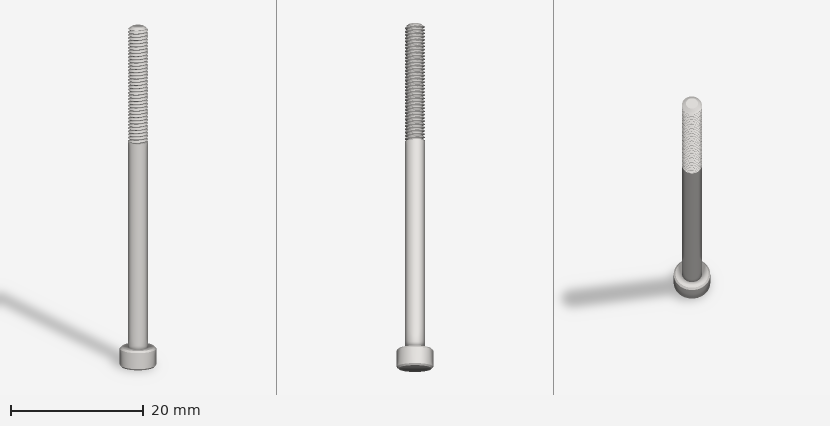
import cadquery as cq
import math

total_length = 53.0
head_diameter = 5.5
head_height = 3.0
head_chamfer = 0.25
shank_diameter = 3.0
thread_length = 18.0
thread_turns = 36
thread_depth = 0.3
thread_start_angle = 110.0
flank_half_angle = 30.0
tip_flat_diameter = 1.8
tip_chamfer_height = 0.4

spare_turns = 2
trim_clearance = 0.25

shank_radius = shank_diameter / 2
tip_flat_radius = tip_flat_diameter / 2
root_radius = shank_radius - thread_depth
thread_bottom = total_length - thread_length
thread_pitch = thread_length / thread_turns

crest_width = thread_pitch / 8
crest_half_width = crest_width / 2
crest_base_half_width = crest_half_width + thread_depth * math.tan(math.radians(flank_half_angle))
thread_profile = [
    (root_radius, -crest_base_half_width),
    (shank_radius, -crest_half_width),
    (shank_radius, crest_half_width),
    (root_radius, crest_base_half_width),
    (root_radius, thread_pitch - crest_base_half_width),
]


def make_head():
    """Cylindrical head, chamfered around both ends."""
    blank = cq.Workplane("XY").circle(head_diameter / 2).extrude(head_height)
    return blank.edges("%CIRCLE").chamfer(head_chamfer)


def make_plain_shank():
    """Smooth shank from the bottom of the head to the start of the thread."""
    return cq.Workplane("XY").circle(shank_radius).extrude(thread_bottom)


def helix_turn(radius, height):
    """One right-hand turn of a helix that starts at the given height."""
    return cq.Wire.makeHelix(thread_pitch, thread_pitch, radius, center=cq.Vector(0, 0, height)).Edges()[0]


def make_turn_faces(turn_height):
    """Skin of one full turn of thread, ruled between helices through the profile points."""
    helices = [helix_turn(radius, turn_height + height) for radius, height in thread_profile]
    return [cq.Face.makeRuledSurface(lower, upper) for lower, upper in zip(helices, helices[1:])]


def make_end_faces(turn_height):
    """Closure of one end of the rod: a helicoid from axis to root, and the flat step where its turn closes."""
    section = [cq.Vector(radius, 0, turn_height + height) for radius, height in thread_profile]
    axis_start = cq.Vector(0, 0, section[0].z)
    axis_end = cq.Vector(0, 0, section[-1].z)
    axis = cq.Edge.makeLine(axis_start, axis_end)
    helicoid = cq.Face.makeRuledSurface(axis, helix_turn(root_radius, section[0].z))
    step_outline = cq.Wire.makePolygon([axis_start, *section, axis_end], close=True)
    return [helicoid, cq.Face.makeFromWires(step_outline)]


def make_threaded_rod():
    """Solid rod of whole thread turns that overruns the thread at both ends."""
    first_turn = -spare_turns
    last_turn = thread_turns + spare_turns
    faces = make_end_faces(first_turn * thread_pitch) + make_end_faces(last_turn * thread_pitch)
    for turn in range(first_turn, last_turn):
        faces += make_turn_faces(turn * thread_pitch)
    return cq.Workplane(cq.Solid.makeSolid(cq.Shell.makeShell(faces)))


def make_trim_envelope():
    """Space the thread may fill: flat at the bottom, conical at the tip and clear of the crests."""
    envelope_radius = shank_radius + trim_clearance
    cone_inset = envelope_radius - tip_flat_radius
    cone_height = cone_inset * tip_chamfer_height / (shank_radius - tip_flat_radius)
    return (
        cq.Workplane("XY")
        .circle(envelope_radius)
        .extrude(thread_length)
        .faces(">Z")
        .chamfer(cone_height, cone_inset)
    )


def make_thread():
    """Threaded end of the screw, turned to its start angle and set on top of the plain shank."""
    trimmed_rod = make_threaded_rod().intersect(make_trim_envelope())
    return trimmed_rod.rotate((0, 0, 0), (0, 0, 1), thread_start_angle).translate((0, 0, thread_bottom))


result = make_head().union(make_plain_shank()).union(make_thread())